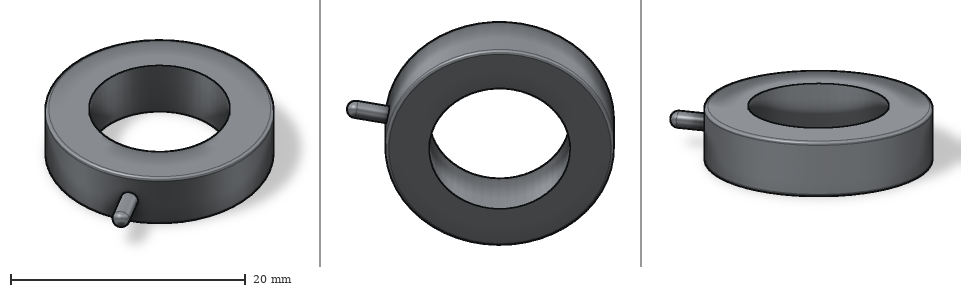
import cadquery as cq

ring_diameter = 19.5
bore_diameter = 12.0
ring_height = 5.0
edge_radius = 0.3

overall_length = 23.0
pin_diameter = 1.5

ring_radius = ring_diameter / 2
bore_radius = bore_diameter / 2
pin_radius = pin_diameter / 2
tip_reach = overall_length - ring_radius
pin_root = (ring_radius + bore_radius) / 2


def make_ring():
    """Plain-bored ring centred on the origin, with rounded outer rims."""
    disc = cq.Workplane("XY").cylinder(ring_height, ring_radius)
    disc = disc.faces("|Z").edges().fillet(edge_radius)
    bore = cq.Workplane("XY").cylinder(ring_height, bore_radius)
    return disc.cut(bore)


def make_pin():
    """Round pin along -Y at mid height, ending in a hemisphere."""
    dome_center = tip_reach - pin_radius
    shank = (
        cq.Workplane("XZ", origin=(0, -pin_root, 0))
        .circle(pin_radius)
        .extrude(dome_center - pin_root)
    )
    dome = cq.Workplane("XY", origin=(0, -dome_center, 0)).sphere(pin_radius)
    return shank.union(dome)


result = make_ring().union(make_pin())